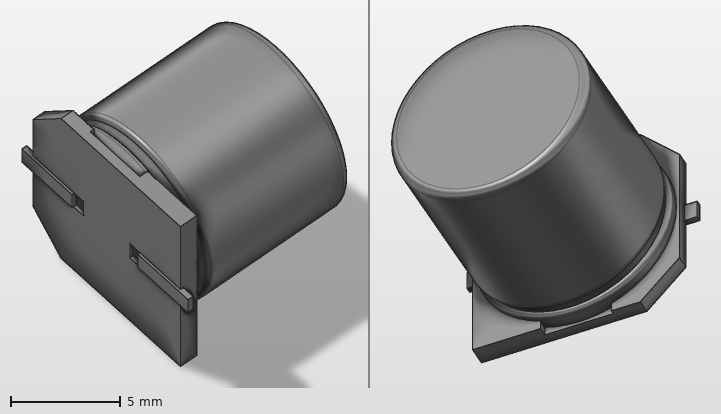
import cadquery as cq
import math


base_size = 10.3
base_chamfer = 1.97
floor_height = 0.51
chamfered_side_height = 0.72
square_side_height = 0.99
band_half_width = 1.73

can_radius = 5.0
can_top = 10.39
top_fillet = 0.4
groove_bottom = 1.33
groove_width = 0.5
groove_depth = 0.25
groove_top = groove_bottom + groove_width
groove_radius = can_radius - groove_depth

lead_tip = 5.8
lead_length = 3.5
lead_width = 0.95
lead_drop = 0.1
slot_depth = 0.2
slot_width = 1.04
slot_inner_end = 1.62


def box_between(x_range, y_range, z_range):
    """Box filling the given coordinate ranges."""
    sizes = [high - low for low, high in (x_range, y_range, z_range)]
    corner = (x_range[0], y_range[0], z_range[0])
    return cq.Workplane("XY").box(*sizes, centered=False).translate(corner)


def make_base():
    """Stepped plate with both -X corners cut off."""
    half = base_size / 2
    full_depth = (-half, half)
    base = box_between((-half, half), (0, floor_height), full_depth)
    base = base.union(box_between((-half, -band_half_width), (0, chamfered_side_height), full_depth))
    base = base.union(box_between((band_half_width, half), (0, square_side_height), full_depth))
    return base.edges("|Y and <X").chamfer(base_chamfer)


def make_can():
    """Turned can on the plate floor, with a rounded top rim and a round-lipped groove."""
    diagonal = math.sqrt(0.5)
    lip_mid_radius = groove_radius + groove_depth * diagonal
    lip_mid_rise = groove_depth * (1 - diagonal)
    rim_center_radius = can_radius - top_fillet
    rim_center_y = can_top - top_fillet
    lower_lip_y = groove_bottom - groove_depth
    upper_lip_y = groove_top + groove_depth
    profile = (
        cq.Workplane("XY")
        .moveTo(0, floor_height)
        .lineTo(can_radius, floor_height)
        .lineTo(can_radius, lower_lip_y)
        .threePointArc((lip_mid_radius, groove_bottom - lip_mid_rise), (groove_radius, groove_bottom))
        .lineTo(groove_radius, groove_top)
        .threePointArc((lip_mid_radius, groove_top + lip_mid_rise), (can_radius, upper_lip_y))
        .lineTo(can_radius, rim_center_y)
        .threePointArc(
            (rim_center_radius + top_fillet * diagonal, rim_center_y + top_fillet * diagonal),
            (rim_center_radius, can_top),
        )
        .lineTo(0, can_top)
        .close()
    )
    return profile.revolve(360, (0, 0, 0), (0, 1, 0))


def make_slot():
    """Cutter for the +X lead slot, open at the plate edge."""
    half_width = slot_width / 2
    return box_between((slot_inner_end, base_size / 2), (0, slot_depth), (-half_width, half_width))


def make_lead():
    """Flat +X lead resting against the slot roof."""
    half_width = lead_width / 2
    return box_between((lead_tip - lead_length, lead_tip), (-lead_drop, slot_depth), (-half_width, half_width))


result = make_base().union(make_can())
for turn in (0, 180):
    result = result.cut(make_slot().rotate((0, 0, 0), (0, 1, 0), turn))
    result = result.union(make_lead().rotate((0, 0, 0), (0, 1, 0), turn))